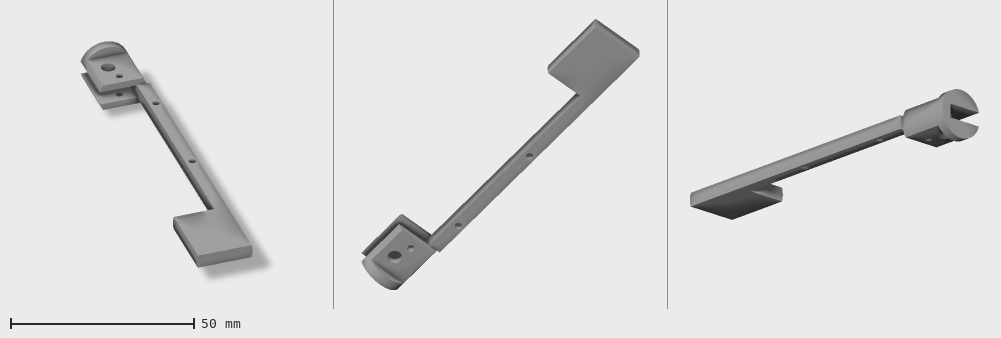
import cadquery as cq

head_length = 16.0
head_radius = 7.0
collar_length = 3.0
flat_height = 4.0

total_length = 100.0
envelope_radius = 8.0
plate_thickness = 4.0
arm_inner_y = 4.0
pad_length = 20.0

pivot_hole_diameter = 4.0
pivot_hole_position = (8.0, -1.5)
pin_hole_diameter = 2.0
pin_hole_positions = [(13.0, 0.0), (26.0, 6.0), (56.0, 6.0)]


def box(x_range, y_range, z_range):
    """Axis-aligned box between the given limits."""
    ranges = (x_range, y_range, z_range)
    size = [high - low for low, high in ranges]
    corner = tuple(low for low, high in ranges)
    return cq.Workplane("XY").box(*size, centered=False).translate(corner)


def round_bar(radius, x_start, x_end):
    """Solid cylinder along the X axis."""
    return cq.Workplane("YZ", origin=(x_start, 0, 0)).circle(radius).extrude(x_end - x_start)


plate_z = (-plate_thickness / 2, plate_thickness / 2)


def make_head():
    """Round head with two flats behind the collar and a slot open towards -Y."""
    head = round_bar(head_radius, 0, head_length)
    flat_x = (collar_length, head_length)
    full_y = (-head_radius, head_radius)
    for z_range in ((flat_height, head_radius), (-head_radius, -flat_height)):
        head = head.cut(box(flat_x, full_y, z_range))
    slot = box((0, head_length), (-head_radius, arm_inner_y), plate_z)
    return head.cut(slot)


def make_arm_and_pad():
    """L-shaped plate whose long edges follow the round envelope."""
    pad_start = total_length - pad_length
    arm = box((head_length, total_length), (arm_inner_y, envelope_radius), plate_z)
    pad = box((pad_start, total_length), (-envelope_radius, envelope_radius), plate_z)
    return arm.union(pad).intersect(round_bar(envelope_radius, head_length, total_length))


def vertical_holes(positions, diameter):
    """Cutters that pass through the full height of the part."""
    return (
        cq.Workplane("XY", origin=(0, 0, -head_radius))
        .pushPoints(positions)
        .circle(diameter / 2)
        .extrude(2 * head_radius)
    )


result = make_head().union(make_arm_and_pad())
result = result.cut(vertical_holes([pivot_hole_position], pivot_hole_diameter))
result = result.cut(vertical_holes(pin_hole_positions, pin_hole_diameter))